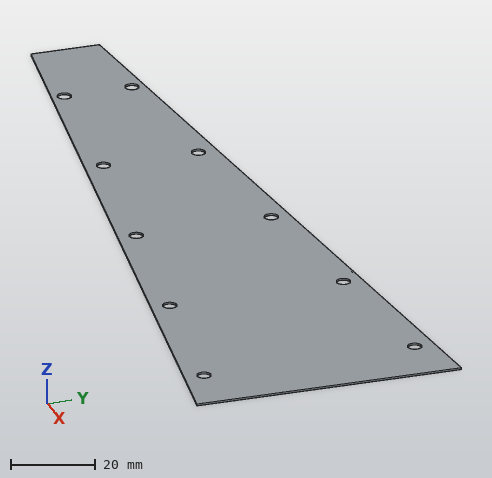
import cadquery as cq

length = 200.0
wide_end = 65.8
narrow_end = 17.0
thickness = 0.5

hole_diameter = 3.5
hole_pitch = 40.0
first_hole_x = -length / 2 + 25.0
hole_offsets = [8.5, 11.8, 16.8, 21.5, 26.2]


def tapered_plate():
    outline = [
        (-length / 2, -narrow_end / 2),
        (length / 2, -wide_end / 2),
        (length / 2, wide_end / 2),
        (-length / 2, narrow_end / 2),
    ]
    return cq.Workplane("XY").polyline(outline).close().extrude(thickness)


def hole_centres():
    centres = []
    for index, offset in enumerate(hole_offsets):
        x = first_hole_x + index * hole_pitch
        centres += [(x, -offset), (x, offset)]
    return centres


hole_cutters = (
    cq.Workplane("XY")
    .pushPoints(hole_centres())
    .circle(hole_diameter / 2)
    .extrude(thickness)
)

result = tapered_plate().cut(hole_cutters)